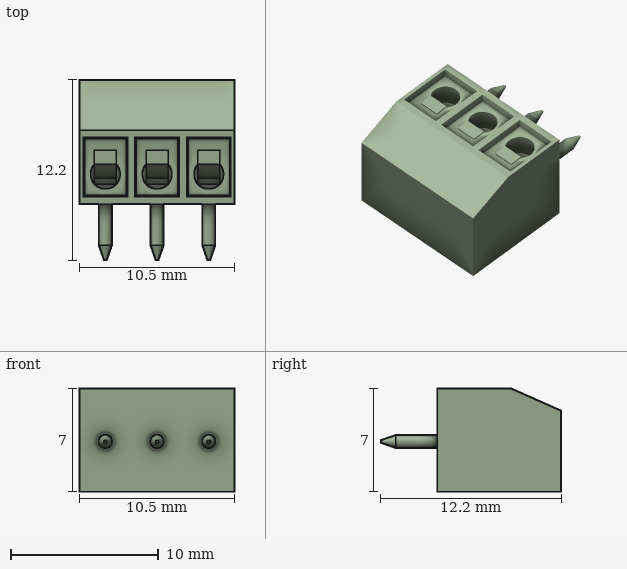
import cadquery as cq


pole_count = 3
pole_pitch = 3.5
housing_length = pole_count * pole_pitch
overall_depth = 12.2
housing_height = 7.0
bevel_run = 3.4
bevel_drop = 1.51

pin_length = 3.8
pin_diameter = 0.9
pin_tip_length = 1.01
pin_tip_diameter = 0.2
pin_height = 3.4
housing_depth = overall_depth - pin_length

recess_width = 3.0
recess_front = 0.5
recess_depth = 0.5
recess_back = 4.51
recess_inset = 0.1
recess_floor_z = housing_height - recess_depth

well_diameter = 2.0
well_y = 2.03
well_depth = 1.52

tongue_width = 1.49
tongue_rise = 0.1
tongue_back_y = 3.66
pad_front_y = 2.7
steep_slope_end_y = 1.75
toe_y = 1.34
toe_height = 0.18

pole_centers = [(index + 0.5) * pole_pitch for index in range(pole_count)]


def make_housing():
    """Block with a bevel along its upper rear edge."""
    return (
        cq.Workplane("YZ")
        .moveTo(0, 0)
        .lineTo(housing_depth, 0)
        .lineTo(housing_depth, housing_height - bevel_drop)
        .lineTo(housing_depth - bevel_run, housing_height)
        .lineTo(0, housing_height)
        .close()
        .extrude(housing_length)
    )


def make_recess(center_x):
    """Drafted rectangular cutter, open at the top of the housing."""
    length = recess_back - recess_front
    center_y = (recess_back + recess_front) / 2
    return (
        cq.Workplane("XY", origin=(center_x, center_y, housing_height))
        .rect(recess_width, length)
        .workplane(offset=-recess_depth)
        .rect(recess_width - 2 * recess_inset, length - 2 * recess_inset)
        .loft(ruled=True)
    )


def make_well(center_x):
    """Round cutter running from the recess floor down to the well floor."""
    return (
        cq.Workplane("XY", origin=(center_x, well_y, recess_floor_z))
        .circle(well_diameter / 2)
        .extrude(-well_depth)
    )


def make_tongue(center_x):
    """Clamp tongue standing on the well floor and the recess floor."""
    well_floor_z = recess_floor_z - well_depth
    pad_z = recess_floor_z + tongue_rise
    return (
        cq.Workplane("YZ", origin=(center_x, 0, 0))
        .moveTo(tongue_back_y, well_floor_z)
        .lineTo(tongue_back_y, pad_z)
        .lineTo(pad_front_y, pad_z)
        .lineTo(steep_slope_end_y, well_floor_z + toe_height)
        .lineTo(toe_y, well_floor_z)
        .close()
        .extrude(tongue_width / 2, both=True)
    )


def make_pin(center_x):
    """Round pin with a conical tip, revolved about its own axis along -Y."""
    pin_radius = pin_diameter / 2
    return (
        cq.Workplane("XY", origin=(center_x, 0, pin_height))
        .moveTo(0, 0)
        .lineTo(pin_radius, 0)
        .lineTo(pin_radius, pin_tip_length - pin_length)
        .lineTo(pin_tip_diameter / 2, -pin_length)
        .lineTo(0, -pin_length)
        .close()
        .revolve(360, (0, 0, 0), (0, 1, 0))
    )


result = make_housing()
for pole_x in pole_centers:
    result = result.cut(make_recess(pole_x))
    result = result.cut(make_well(pole_x))
    result = result.union(make_tongue(pole_x))
    result = result.union(make_pin(pole_x))